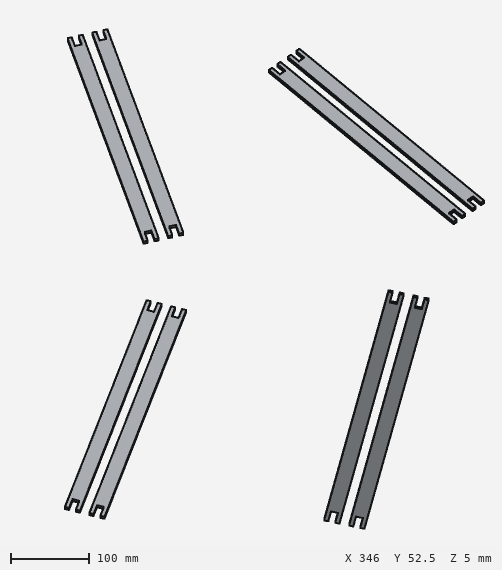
import cadquery as cq

length = 346.0
total_width = 52.5
thickness = 5.0

strip_width = 20.0
slot_depth = 15.0
slot_width = 9.0

strip_offset = (total_width - strip_width) / 2


def make_strip(center_y):
    """Flat strip along X with an open rectangular slot in the middle of both ends."""
    strip = cq.Workplane("XY").box(length, strip_width, thickness)
    slot_centers = [(side * (length - slot_depth) / 2, 0) for side in (-1, 1)]
    slots = cq.Workplane("XY").pushPoints(slot_centers).box(slot_depth, slot_width, thickness)
    return strip.cut(slots).translate((0, center_y, 0))


strips = [make_strip(side * strip_offset) for side in (-1, 1)]

result = cq.Compound.makeCompound([strip.val() for strip in strips])